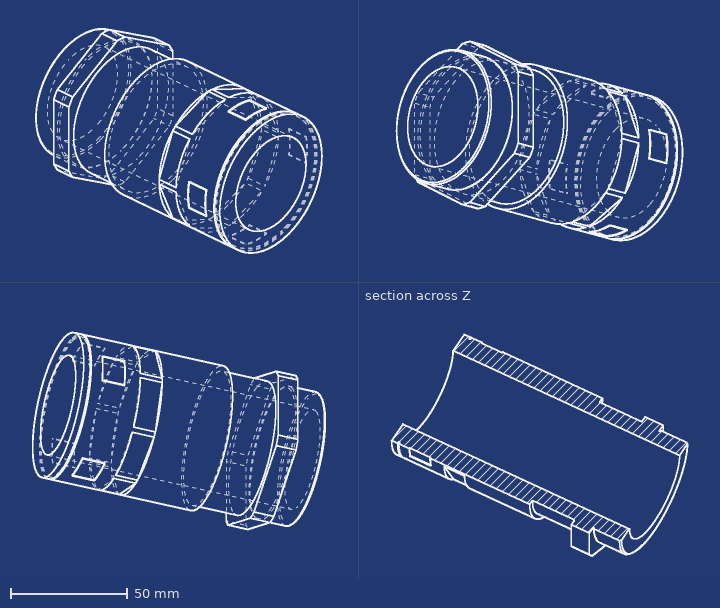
import cadquery as cq
import math

total_length = 112.0
nut_start = 13.9
nut_end = 23.0
sleeve_start = 43.7
cap_start = 76.0
flats_end = 86.0
window_start = 93.0
window_end = 103.2
groove_start = 108.5
groove_end = 109.0

bore_diameter = 44.0
thread_diameter = 59.3
sleeve_diameter = 64.0
cap_diameter = 64.02
groove_diameter = 62.0

thread_chamfer = 0.7

nut_sides = 6
nut_across_flats = 65.0
nut_corner_diameter = 72.5

flat_count = 8
flats_across = 60.0

window_count = 4
window_width = 13.0
window_depth = 0.4

axis_start = -total_length / 2


def yz_plane_at(station):
    """Workplane across the axis at a station."""
    return cq.Workplane("YZ", origin=(axis_start + station, 0, 0))


def turned(solid, angle):
    """Solid turned about the X axis by an angle in degrees."""
    return solid.rotate((0, 0, 0), (1, 0, 0), angle)


def cylinder(diameter, start, end):
    """Solid cylinder on the X axis between two stations."""
    return yz_plane_at(start).circle(diameter / 2).extrude(end - start)


def ring(outer_diameter, inner_diameter, start, end):
    """Hollow cylinder on the X axis between two stations."""
    return cylinder(outer_diameter, start, end).cut(cylinder(inner_diameter, start, end))


def prism(side_count, across_flats, start, end):
    """Regular prism on the X axis with two opposite corners on the Y axis."""
    across_corners = across_flats / math.cos(math.pi / side_count)
    return yz_plane_at(start).polygon(side_count, across_corners).extrude(end - start)


def threaded_spigot():
    front_thread = cylinder(thread_diameter, 0, nut_start)
    front_thread = front_thread.faces("<X or >X").chamfer(thread_chamfer)
    rear_thread = cylinder(thread_diameter, nut_start, sleeve_start)
    return front_thread.union(rear_thread)


def hex_nut():
    blank = turned(prism(nut_sides, nut_across_flats, nut_start, nut_end), 180 / nut_sides)
    return blank.intersect(cylinder(nut_corner_diameter, nut_start, nut_end))


def outside_wrench_flats():
    """Material cut from the cap to leave the flats."""
    collar = cylinder(cap_diameter, cap_start, flats_end)
    return collar.cut(prism(flat_count, flats_across, cap_start, flats_end))


def windows():
    """Shallow curved-floor recesses facing +Y, -Y, +Z and -Z."""
    skin = ring(cap_diameter, cap_diameter - 2 * window_depth, window_start, window_end)
    window_length = window_end - window_start
    window_centre = axis_start + window_start + window_length / 2
    bar = cq.Workplane("XY", origin=(window_centre, 0, 0)).rect(window_length, window_width)
    bar = bar.extrude(cap_diameter)
    bars = bar
    for index in range(1, window_count):
        bars = bars.union(turned(bar, index * 360 / window_count))
    return skin.intersect(bars)


def cap():
    body = cylinder(cap_diameter, cap_start, total_length)
    groove = ring(cap_diameter, groove_diameter, groove_start, groove_end)
    return body.cut(outside_wrench_flats()).cut(windows()).cut(groove)


sleeve = cylinder(sleeve_diameter, sleeve_start, cap_start)
bore = cylinder(bore_diameter, 0, total_length)
result = threaded_spigot().union(hex_nut()).union(sleeve).union(cap()).cut(bore)